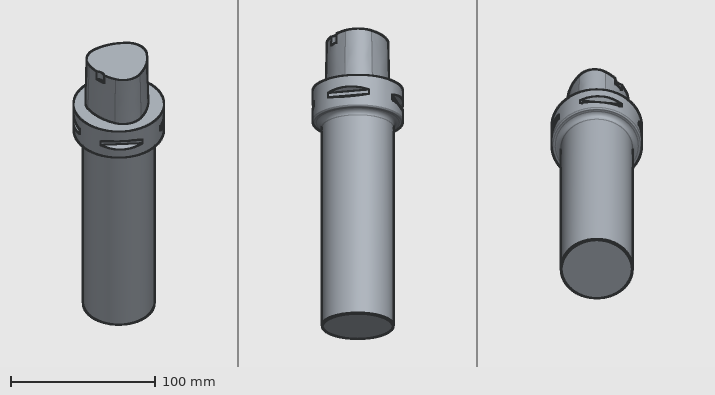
import cadquery as cq
import math

total_height = 213.0
shank_height = 38.0
flange_top = total_height - shank_height
flange_bottom = 151.7

body_radius = 50.0 / 2
flange_radius = 63.0 / 2
neck_fillet = 3.8
flange_edge = 1.0
base_chamfer = 0.6

lobe_reach = 23.5
flank_reach = 20.35
lobe_offset = 8.7
taper_inset = 0.9

notch_radius = 5.5
notch_depth = 6.5
notch_floor_y = -18.0

groove_count = 4
groove_height = 163.0
groove_floor_distance = 28.0
groove_floor_width = 3.2
groove_wall_angle = 30.0


def polar(radius, angle):
    """Point at a distance and an angle in degrees from the axis."""
    turn = math.radians(angle)
    return (radius * math.cos(turn), radius * math.sin(turn))


def shank_outline(z, inset):
    """Closed outline of six tangent arcs, shifted inward by inset."""
    reach_gap = flank_reach - lobe_reach + lobe_offset
    flank_offset = (lobe_offset**2 - reach_gap**2) / (2 * reach_gap - lobe_offset)

    flank_center = polar(flank_offset, -120)
    normal_angle = math.atan2(-flank_center[1], lobe_offset - flank_center[0])
    lobe_radius = lobe_reach - lobe_offset - inset
    seam_x = lobe_offset + lobe_radius * math.cos(normal_angle)
    seam_y = lobe_radius * math.sin(normal_angle)
    seam_distance = math.hypot(seam_x, seam_y)
    seam_angle = math.degrees(math.atan2(seam_y, seam_x))

    outline = cq.Workplane("XY", origin=(0, 0, z)).moveTo(*polar(seam_distance, 90 - seam_angle))
    for lobe_angle in (90, 210, 330):
        outline = outline.threePointArc(
            polar(lobe_reach - inset, lobe_angle),
            polar(seam_distance, lobe_angle + seam_angle),
        )
        outline = outline.threePointArc(
            polar(flank_reach - inset, lobe_angle + 60),
            polar(seam_distance, lobe_angle + 120 - seam_angle),
        )
    return outline.close().val()


def make_body():
    """Cylindrical body and flange, joined by a fillet under the flange."""
    body = cq.Workplane("XY").circle(body_radius).extrude(flange_bottom)
    body = body.faces("<Z").chamfer(base_chamfer)
    flange = cq.Workplane("XY", origin=(0, 0, flange_bottom)).circle(flange_radius)
    flange = flange.extrude(flange_top - flange_bottom)
    flange = flange.faces("<Z").edges().fillet(flange_edge)
    body = body.union(flange)
    neck = cq.selectors.RadiusNthSelector(0)
    flange_underside = cq.selectors.NearestToPointSelector((0, 0, flange_bottom))
    return body.faces(flange_underside).edges(neck).fillet(neck_fillet)


def make_shank():
    """Tapered shank with its key notch."""
    lower = shank_outline(flange_top, 0)
    upper = shank_outline(total_height, taper_inset)
    shank = cq.Workplane(cq.Solid.makeLoft([lower, upper], True))
    notch = cq.Workplane("XY", origin=(0, notch_floor_y - notch_radius, total_height - notch_depth))
    return shank.cut(notch.circle(notch_radius).extrude(notch_depth))


def make_groove():
    """Straight groove cutter with sloping walls, facing +X."""
    depth = flange_radius - groove_floor_distance
    floor_half = groove_floor_width / 2
    mouth_half = floor_half + depth * math.tan(math.radians(groove_wall_angle))
    profile = [
        (groove_floor_distance, groove_height - floor_half),
        (flange_radius, groove_height - mouth_half),
        (flange_radius, groove_height + mouth_half),
        (groove_floor_distance, groove_height + floor_half),
    ]
    return cq.Workplane("XZ").polyline(profile).close().extrude(flange_radius, both=True)


result = make_body().union(make_shank())
groove = make_groove()
groove_spacing = 360 / groove_count
for index in range(groove_count):
    groove_angle = (index + 0.5) * groove_spacing
    result = result.cut(groove.rotate((0, 0, 0), (0, 0, 1), groove_angle))